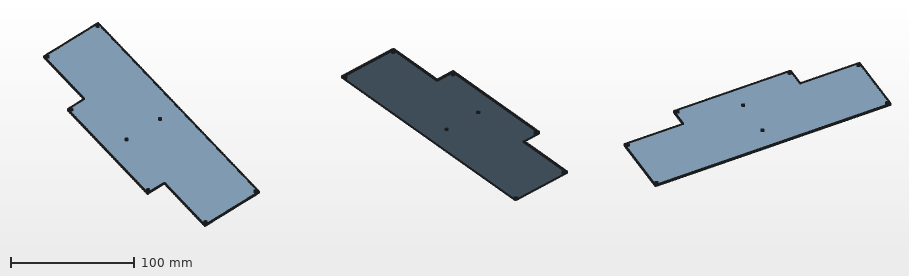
import cadquery as cq

length = 214.5
depth = 72.5
thickness = 1.5

tab_width = 106.5
tab_depth = 17.2

hole_diameter = 2.1
edge_inset = 2.1
centre_hole_spacing = 34.0

back_y = depth / 2
front_y = -depth / 2
shoulder_y = front_y + tab_depth
half_length = length / 2
half_tab = tab_width / 2


def make_plate():
    """Flat T-shaped plate: a wide rectangle with a narrower tab in front."""
    outline = [
        (-half_length, back_y),
        (half_length, back_y),
        (half_length, shoulder_y),
        (half_tab, shoulder_y),
        (half_tab, front_y),
        (-half_tab, front_y),
        (-half_tab, shoulder_y),
        (-half_length, shoulder_y),
    ]
    return cq.Workplane("XY").polyline(outline).close().extrude(thickness)


def hole_centres():
    """Corner holes of the rectangle, corner holes of the tab, and two on the centreline."""
    corner_x = half_length - edge_inset
    tab_x = half_tab - edge_inset
    back_row_y = back_y - edge_inset
    shoulder_row_y = shoulder_y + edge_inset
    front_row_y = front_y + edge_inset

    centres = [(0, shoulder_row_y), (0, shoulder_row_y + centre_hole_spacing)]
    for side in (-1, 1):
        centres.append((side * corner_x, back_row_y))
        centres.append((side * corner_x, shoulder_row_y))
        centres.append((side * tab_x, front_row_y))
    return centres


plate = make_plate()
result = plate.faces(">Z").workplane(origin=(0, 0, thickness)).pushPoints(hole_centres()).hole(hole_diameter)